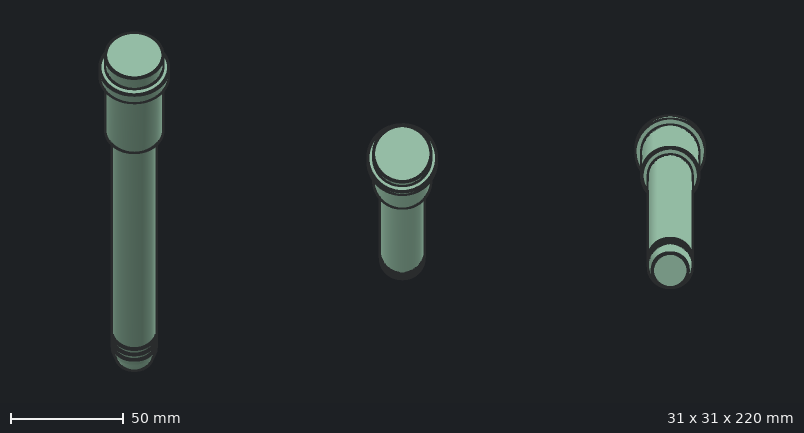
import cadquery as cq


length = 220.0
collar_diameter = 31.0
body_diameter = 26.0
shaft_diameter = 20.0

body_bottom = 164.8
collar_bottom = 205.0
collar_height = 6.0
collar_top = collar_bottom + collar_height

collar_chamfer = 0.5
body_top_chamfer = 0.5
body_bottom_chamfer = 0.7

relief_radius = 0.48

nose_height = 7.0
tip_diameter = 16.3
tip_chamfer = 0.5

groove_count = 3
groove_pitch = 4.0
groove_radius = 0.5


def cylinder(diameter, bottom, height):
    return cq.Workplane("XY").workplane(offset=bottom).circle(diameter / 2).extrude(height)


def round_groove(diameter, height, radius):
    section = cq.Workplane("XZ").center(diameter / 2, height).circle(radius)
    return section.revolve(360, (-diameter / 2, 0), (-diameter / 2, 1))


body = cylinder(body_diameter, body_bottom, length - body_bottom)
body = body.faces(">Z").chamfer(body_top_chamfer)
body = body.faces("<Z").chamfer(body_bottom_chamfer)
collar = cylinder(collar_diameter, collar_bottom, collar_height)
collar = collar.faces(">Z").chamfer(collar_chamfer)

shaft = cylinder(shaft_diameter, nose_height, body_bottom - nose_height)
nose = (
    cq.Workplane("XY")
    .circle(tip_diameter / 2)
    .workplane(offset=nose_height)
    .circle(shaft_diameter / 2)
    .loft()
    .faces("<Z")
    .chamfer(tip_chamfer)
)

result = body.union(collar).union(shaft).union(nose)

result = result.cut(round_groove(body_diameter, collar_top + relief_radius, relief_radius))
result = result.cut(round_groove(body_diameter, collar_bottom - relief_radius, relief_radius))
result = result.cut(round_groove(shaft_diameter, body_bottom - relief_radius, relief_radius))

for i in range(groove_count):
    groove_height = nose_height + (i + 1) * groove_pitch - groove_radius
    result = result.cut(round_groove(shaft_diameter, groove_height, groove_radius))